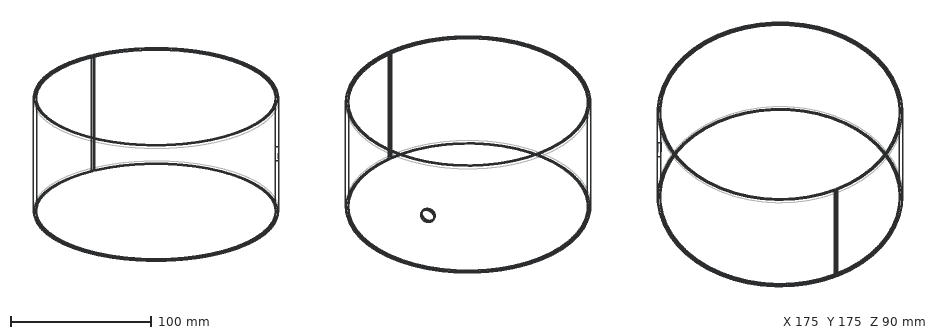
import cadquery as cq
import math

outer_diameter = 175.0
height = 90.0
wall = 2.5
outer_bevel_height = 2.0
outer_bevel_width = 0.58
inner_bevel_height = 1.0
inner_bevel_width = 0.58
slit_angle = 1.0
hole_diameter = 10.0
hole_angle = 59.0

outer_radius = outer_diameter / 2
inner_radius = outer_radius - wall
hole_height = height / 2


def make_band():
    """Open band: the bevelled wall section swept around Z from the -X side."""
    section = (
        cq.Workplane("XZ")
        .moveTo(-outer_radius, outer_bevel_height)
        .lineTo(-outer_radius, height - outer_bevel_height)
        .lineTo(-outer_radius + outer_bevel_width, height)
        .lineTo(-inner_radius - inner_bevel_width, height)
        .lineTo(-inner_radius, height - inner_bevel_height)
        .lineTo(-inner_radius, inner_bevel_height)
        .lineTo(-inner_radius - inner_bevel_width, 0)
        .lineTo(-outer_radius + outer_bevel_width, 0)
        .close()
    )
    return section.revolve(360 - slit_angle, (0, 0, 0), (0, 1, 0))


def make_hole():
    """Radial drill through one wall of the band, at mid height."""
    angle = math.radians(hole_angle)
    direction = cq.Vector(math.cos(angle), math.sin(angle), 0)
    start = direction * (inner_radius - wall) + cq.Vector(0, 0, hole_height)
    return cq.Solid.makeCylinder(hole_diameter / 2, 3 * wall, start, direction)


result = make_band().cut(make_hole())